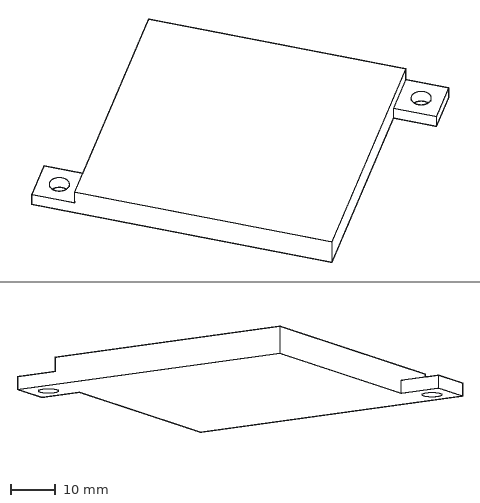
import cadquery as cq

plate_side = 60.0
plate_height = 6.25

tab_side = 10.0
tab_height = 3.0
hole_diameter = 4.5

tab_x = (plate_side + tab_side) / 2
tab_y = (plate_side - tab_side) / 2


def make_plate():
    return cq.Workplane("XY").box(plate_side, plate_side, plate_height, centered=(True, True, False))


def make_tab(x, y):
    """Square tab centred on (x, y) with a through hole in its middle."""
    tab = cq.Workplane("XY").box(tab_side, tab_side, tab_height, centered=(True, True, False))
    tab = tab.faces(">Z").workplane().hole(hole_diameter)
    return tab.translate((x, y, 0))


result = make_plate()
for side in (-1, 1):
    result = result.union(make_tab(side * tab_x, side * tab_y))